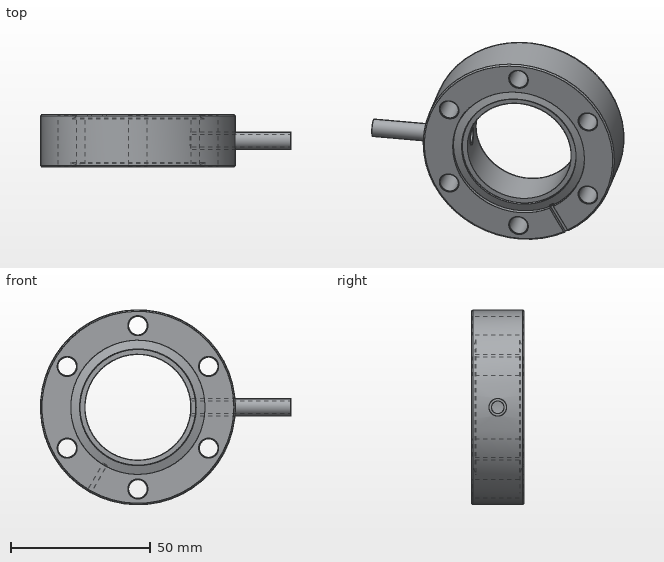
import cadquery as cq
import math

FLANGE_RADIUS = 35.0
FLANGE_THICKNESS = 19.0
RIM_CHAMFER = 0.5
BORE_RADIUS = 19.0

RECESS_RADIUS = 24.1
RECESS_DEPTH = 1.6
KNIFE_RADIUS = 21.0
KNIFE_DEPTH = 0.5
SHELF_RADIUS = 20.8
SHELF_DEPTH = 1.3

BOLT_COUNT = 6
BOLT_CIRCLE_RADIUS = 29.3
BOLT_HOLE_RADIUS = 3.3
BOLT_HOLE_CHAMFER = 0.3

GROOVE_ANGLE = 240
GROOVE_WIDTH = 1.6
GROOVE_DEPTH = 1.5

TUBE_RADIUS = 3.15
TUBE_BORE_RADIUS = 2.25
TUBE_END_X = 89.95 - FLANGE_RADIUS

HALF_THICKNESS = FLANGE_THICKNESS / 2


def face_profile(side):
    """(radius, Y) points of one face from the bore to the rim; side is -1 or +1."""
    radius_and_depth = [
        (BORE_RADIUS, SHELF_DEPTH),
        (SHELF_RADIUS, SHELF_DEPTH),
        (KNIFE_RADIUS, KNIFE_DEPTH),
        (RECESS_RADIUS, RECESS_DEPTH),
        (RECESS_RADIUS, 0),
        (FLANGE_RADIUS - RIM_CHAMFER, 0),
        (FLANGE_RADIUS, RIM_CHAMFER),
    ]
    return [(radius, side * (HALF_THICKNESS - depth)) for radius, depth in radius_and_depth]


def make_ring():
    outline = face_profile(-1) + face_profile(1)[::-1]
    return cq.Workplane("XY").polyline(outline).close().revolve(360, (0, 0, 0), (0, 1, 0))


def bolt_hole_cutter():
    """Through hole on the Y axis, widened by a chamfer at both faces."""
    mouth_radius = BOLT_HOLE_RADIUS + BOLT_HOLE_CHAMFER
    straight_end = HALF_THICKNESS - BOLT_HOLE_CHAMFER
    outline = [
        (0, -HALF_THICKNESS),
        (mouth_radius, -HALF_THICKNESS),
        (BOLT_HOLE_RADIUS, -straight_end),
        (BOLT_HOLE_RADIUS, straight_end),
        (mouth_radius, HALF_THICKNESS),
        (0, HALF_THICKNESS),
    ]
    return cq.Workplane("XY").polyline(outline).close().revolve(360, (0, 0, 0), (0, 1, 0))


def cut_bolt_holes(body):
    cutter = bolt_hole_cutter()
    for index in range(BOLT_COUNT):
        angle = math.radians(90 + index * 360 / BOLT_COUNT)
        x = BOLT_CIRCLE_RADIUS * math.cos(angle)
        z = BOLT_CIRCLE_RADIUS * math.sin(angle)
        body = body.cut(cutter.translate((x, 0, z)))
    return body


def groove_cutter():
    """Radial slot from the sealing recess out through the rim."""
    slot = cq.Workplane("XY").box(
        FLANGE_RADIUS - RECESS_RADIUS + RIM_CHAMFER,
        GROOVE_DEPTH,
        GROOVE_WIDTH,
        centered=(False, False, True),
    )
    slot = slot.translate((RECESS_RADIUS - RIM_CHAMFER, HALF_THICKNESS - GROOVE_DEPTH, 0))
    return slot.rotate((0, 0, 0), (0, 1, 0), -GROOVE_ANGLE)


def make_flange():
    socket = cq.Workplane("YZ").circle(TUBE_RADIUS).extrude(FLANGE_RADIUS)
    return cut_bolt_holes(make_ring()).cut(groove_cutter()).cut(socket)


def make_tube():
    tube = cq.Workplane("YZ", origin=(BORE_RADIUS, 0, 0))
    return tube.circle(TUBE_RADIUS).circle(TUBE_BORE_RADIUS).extrude(TUBE_END_X - BORE_RADIUS)


flange = make_flange()
tube = make_tube()
result = cq.Compound.makeCompound([flange.val(), tube.val()])